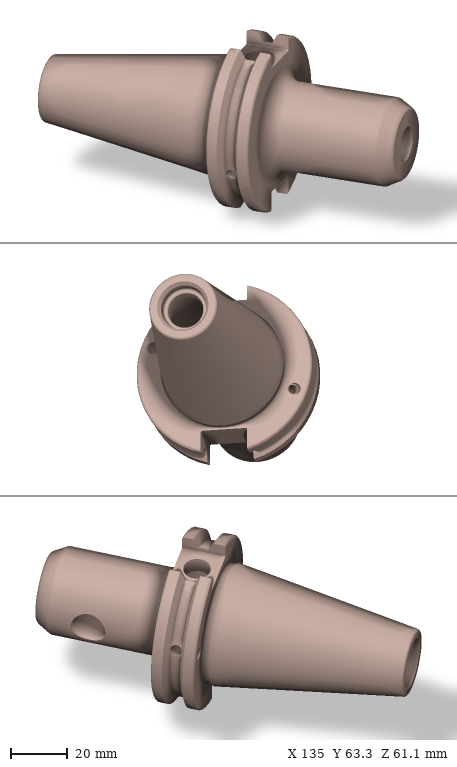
import cadquery as cq
import math

TOTAL_LENGTH = 135.0

TAPER_RATIO = 7 / 24
TAPER_END_X = 67.9
GAUGE_DIAMETER = 44.4
TAPER_SMALL_DIAMETER = GAUGE_DIAMETER - TAPER_RATIO * TAPER_END_X
TAPER_EDGE_RADIUS = 1.0
GAUGE_LAND_WIDTH = 0.5
NECK_START_X = 69.5
NECK_DIAMETER = 43.6
NECK_FILLET_RADIUS = 0.4

FLANGE_START_X = 71.3
FLANGE_WIDTH = 16.0
FLANGE_END_X = FLANGE_START_X + FLANGE_WIDTH
FLANGE_DIAMETER = 63.3
FLANGE_EDGE_RADIUS = 1.0
GROOVE_CENTER_X = FLANGE_START_X + FLANGE_WIDTH / 2
GROOVE_DIAMETER = 56.5
GROOVE_FLOOR_WIDTH = 3.5
GROOVE_WALL_ANGLE = 30.0

SHANK_DIAMETER = 32.0
SHANK_FILLET_RADIUS = 5.0
NOSE_START_X = 129.4
NOSE_BREAK_LENGTH = 0.4
NOSE_BREAK_DIAMETER = 31.7
NOSE_TIP_LENGTH = 0.7
NOSE_CONE_END_DIAMETER = 26.7
NOSE_TIP_DIAMETER = 25.4

BORE_MOUTH_DIAMETER = 18.5
BORE_MOUTH_LENGTH = 1.4
COUNTERBORE_DIAMETER = 16.3
COUNTERBORE_END_X = 4.6
BORE_LEAD_DIAMETER = 13.4
BORE_DIAMETER = 12.7

SLOT_WIDTH = 16.7
UPPER_SLOT_FLOOR = 25.0
LOWER_SLOT_FLOOR = 22.7
SLOT_CORNER_RADIUS = 0.5

DIMPLE_DIAMETER = 9.7
DIMPLE_DEPTH = 6.1
DRILL_POINT_ANGLE = 118.0

SCREW_HOLE_X = 114.7
SCREW_HOLE_DIAMETER = 12.7

COOLANT_ANGLE = 20.0
COOLANT_PITCH_RADIUS = 27.0
COOLANT_MOUTH_DIAMETER = 4.2
COOLANT_MOUTH_DEPTH = 1.9
COOLANT_DIAMETER = 3.2
COOLANT_LENGTH = 9.5
COOLANT_TILT = 30.0
COOLANT_LEAD_IN = 1.4
PLUG_DIAMETER = 4.2
PLUG_DEPTH = 6.1


def make_body():
    """Revolve the taper, neck, flange and shank about the X axis."""
    flange_radius = FLANGE_DIAMETER / 2
    groove_radius = GROOVE_DIAMETER / 2
    floor_half = GROOVE_FLOOR_WIDTH / 2
    wall_run = (flange_radius - groove_radius) * math.tan(math.radians(GROOVE_WALL_ANGLE))
    groove_half = floor_half + wall_run
    shank_radius = SHANK_DIAMETER / 2
    diagonal = math.sqrt(0.5)

    def edge_arc(sketch, x_center, y_center, radius, middle, end):
        """Draw a quarter arc through a middle direction to an end direction."""
        return sketch.threePointArc(
            (x_center + radius * middle[0], y_center + radius * middle[1]),
            (x_center + radius * end[0], y_center + radius * end[1]),
        )

    profile = cq.Workplane("XY").lineTo(0, TAPER_SMALL_DIAMETER / 2 - TAPER_EDGE_RADIUS)
    profile = edge_arc(
        profile,
        TAPER_EDGE_RADIUS,
        TAPER_SMALL_DIAMETER / 2 - TAPER_EDGE_RADIUS,
        TAPER_EDGE_RADIUS,
        (-diagonal, diagonal),
        (0, 1),
    )
    profile = (
        profile.lineTo(TAPER_END_X, GAUGE_DIAMETER / 2)
        .lineTo(TAPER_END_X + GAUGE_LAND_WIDTH, GAUGE_DIAMETER / 2)
        .lineTo(NECK_START_X, NECK_DIAMETER / 2)
        .lineTo(FLANGE_START_X - NECK_FILLET_RADIUS, NECK_DIAMETER / 2)
    )
    profile = edge_arc(
        profile,
        FLANGE_START_X - NECK_FILLET_RADIUS,
        NECK_DIAMETER / 2 + NECK_FILLET_RADIUS,
        NECK_FILLET_RADIUS,
        (diagonal, -diagonal),
        (1, 0),
    )
    profile = profile.lineTo(FLANGE_START_X, flange_radius - FLANGE_EDGE_RADIUS)
    profile = edge_arc(
        profile,
        FLANGE_START_X + FLANGE_EDGE_RADIUS,
        flange_radius - FLANGE_EDGE_RADIUS,
        FLANGE_EDGE_RADIUS,
        (-diagonal, diagonal),
        (0, 1),
    )
    profile = (
        profile.lineTo(GROOVE_CENTER_X - groove_half, flange_radius)
        .lineTo(GROOVE_CENTER_X - floor_half, groove_radius)
        .lineTo(GROOVE_CENTER_X + floor_half, groove_radius)
        .lineTo(GROOVE_CENTER_X + groove_half, flange_radius)
        .lineTo(FLANGE_END_X - FLANGE_EDGE_RADIUS, flange_radius)
    )
    profile = edge_arc(
        profile,
        FLANGE_END_X - FLANGE_EDGE_RADIUS,
        flange_radius - FLANGE_EDGE_RADIUS,
        FLANGE_EDGE_RADIUS,
        (diagonal, diagonal),
        (1, 0),
    )
    profile = profile.lineTo(FLANGE_END_X, shank_radius + SHANK_FILLET_RADIUS)
    profile = edge_arc(
        profile,
        FLANGE_END_X + SHANK_FILLET_RADIUS,
        shank_radius + SHANK_FILLET_RADIUS,
        SHANK_FILLET_RADIUS,
        (-diagonal, -diagonal),
        (0, -1),
    )
    profile = (
        profile.lineTo(NOSE_START_X, shank_radius)
        .lineTo(NOSE_START_X + NOSE_BREAK_LENGTH, NOSE_BREAK_DIAMETER / 2)
        .lineTo(TOTAL_LENGTH - NOSE_TIP_LENGTH, NOSE_CONE_END_DIAMETER / 2)
        .lineTo(TOTAL_LENGTH, NOSE_TIP_DIAMETER / 2)
        .lineTo(TOTAL_LENGTH, 0)
        .close()
    )
    return profile.revolve(360, (0, 0, 0), (1, 0, 0))


def make_bore():
    """Make the through bore with its flared mouth and counterbore."""
    lead_length = (BORE_LEAD_DIAMETER - BORE_DIAMETER) / 2
    return (
        cq.Workplane("XY")
        .lineTo(0, BORE_MOUTH_DIAMETER / 2)
        .lineTo(BORE_MOUTH_LENGTH, COUNTERBORE_DIAMETER / 2)
        .lineTo(COUNTERBORE_END_X, COUNTERBORE_DIAMETER / 2)
        .lineTo(COUNTERBORE_END_X, BORE_LEAD_DIAMETER / 2)
        .lineTo(COUNTERBORE_END_X + lead_length, BORE_DIAMETER / 2)
        .lineTo(TOTAL_LENGTH, BORE_DIAMETER / 2)
        .lineTo(TOTAL_LENGTH, 0)
        .close()
        .revolve(360, (0, 0, 0), (1, 0, 0))
    )


def make_slot(floor_distance, side):
    """Make a drive slot above (side = 1) or below (side = -1) the axis."""
    height = FLANGE_DIAMETER / 2
    floor_edges = "<Z" if side > 0 else ">Z"
    return (
        cq.Workplane("XY")
        .box(FLANGE_WIDTH, SLOT_WIDTH, height)
        .faces(floor_edges)
        .edges("|X")
        .fillet(SLOT_CORNER_RADIUS)
        .translate((GROOVE_CENTER_X, 0, side * (floor_distance + height / 2)))
    )


def make_dimple():
    """Make the drilled hole with a pointed bottom in the upper slot floor."""
    radius = DIMPLE_DIAMETER / 2
    point_length = radius / math.tan(math.radians(DRILL_POINT_ANGLE / 2))
    return (
        cq.Workplane("XZ")
        .lineTo(radius, 0)
        .lineTo(radius, -DIMPLE_DEPTH)
        .lineTo(0, -DIMPLE_DEPTH - point_length)
        .close()
        .revolve(360, (0, 0, 0), (0, 1, 0))
        .translate((GROOVE_CENTER_X, 0, UPPER_SLOT_FLOOR))
    )


def make_screw_hole():
    """Make the clamp screw hole from the shank surface to the axis."""
    axis = cq.Vector(0, 1, 0)
    start = cq.Vector(SCREW_HOLE_X, 0, 0)
    return cq.Solid.makeCylinder(SCREW_HOLE_DIAMETER / 2, SHANK_DIAMETER, start, axis)


def make_coolant_holes():
    """Make one coolant passage, tilted toward the axis, and its groove plug hole along +Y."""
    tilt = math.radians(COOLANT_TILT)
    direction = cq.Vector(math.cos(tilt), -math.sin(tilt), 0)
    start = cq.Vector(FLANGE_START_X, COOLANT_PITCH_RADIUS, 0) - direction * COOLANT_LEAD_IN
    mouth = cq.Solid.makeCylinder(
        COOLANT_MOUTH_DIAMETER / 2, COOLANT_LEAD_IN + COOLANT_MOUTH_DEPTH, start, direction
    )
    passage = cq.Solid.makeCylinder(
        COOLANT_DIAMETER / 2, COOLANT_LEAD_IN + COOLANT_LENGTH, start, direction
    )
    plug = cq.Solid.makeCylinder(
        PLUG_DIAMETER / 2,
        (FLANGE_DIAMETER - GROOVE_DIAMETER) / 2 + PLUG_DEPTH,
        cq.Vector(GROOVE_CENTER_X, GROOVE_DIAMETER / 2 - PLUG_DEPTH, 0),
        cq.Vector(0, 1, 0),
    )
    return cq.Workplane("XY").add(mouth.fuse(passage, plug))


result = make_body().cut(make_bore())
result = result.cut(make_slot(UPPER_SLOT_FLOOR, 1))
result = result.cut(make_slot(LOWER_SLOT_FLOOR, -1))
result = result.cut(make_dimple())
result = result.cut(cq.Workplane("XY").add(make_screw_hole()))
for turn in (0, 180):
    coolant_holes = make_coolant_holes().rotate((0, 0, 0), (1, 0, 0), COOLANT_ANGLE + turn)
    result = result.cut(coolant_holes)